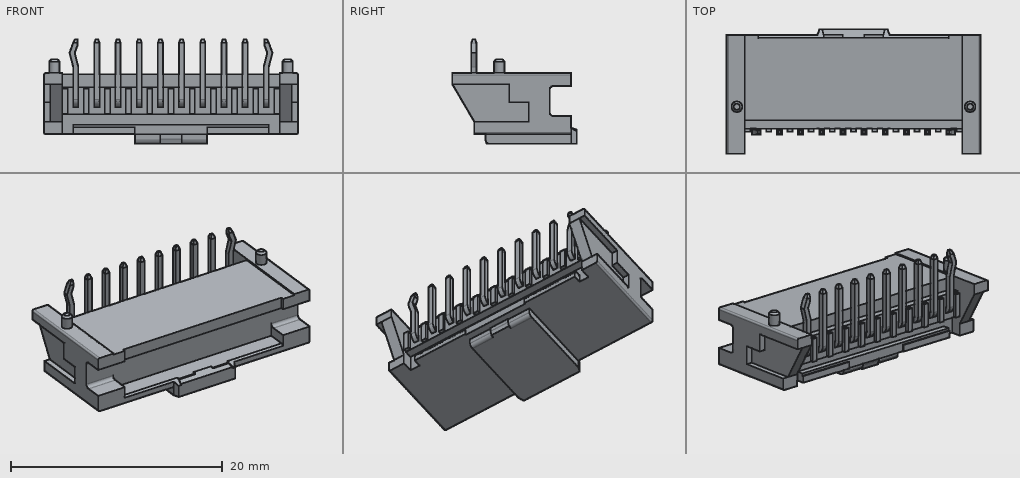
import cadquery as cq
import math


LENGTH = 24.0
CHEEK_WIDTH = 1.75
CHEEK_DEPTH = 11.23
CHEEK_TOP = 6.7
BASE_Z = 0.9
BODY_TOP = 6.58
WALL_DEPTH = 8.1
INNER_HALF = LENGTH / 2 - CHEEK_WIDTH

FOOT_DEPTH = 9.17
CHEEK_STEP_HIGH = 5.65
CHEEK_STEP_MID = 3.9
CHEEK_STEP_LOW = 2.1
RELIEF_DEPTH = 0.6
RELIEF_UPPER_START = 5.85
RELIEF_LOWER_START = 3.98
CHEEK_EDGE_RADIUS = 0.2
NOTCH_DEPTH = 2.02
NOTCH_BOTTOM = 2.65
NOTCH_TOP = 5.45
NOTCH_RADIUS = 0.34

PEG_X = 11.02
PEG_Y = -6.8
PEG_DIAMETER = 1.0
PEG_TOP = 8.0
PEG_CHAMFER = 0.22

PIN_COUNT = 10
PITCH = LENGTH / 12
PIN_SIZE = 0.5
PIN_Y = -9.2
PIN_TOP = 9.9
PIN_TIP_Z = 9.53
PIN_TIP_SIZE = 0.25
PIN_LEG_Z = 3.45
PIN_BEND_RADIUS = 0.77
PIN_EMBED_DEPTH = 8.4
KINK_START_Z = 7.3
KINK_PEAK_Z = 8.6
KINK_OFFSET = 0.34
KINK_TIP_OFFSET = 0.07
PIN_BLOCK_DEPTH = 8.85
PIN_BLOCK_BOTTOM = 2.8
PIN_BLOCK_TOP = 5.35
PARTITION_DEPTH = 9.17
PARTITION_WIDTH = 0.5
PARTITION_BOTTOM = 2.85
PARTITION_TOP = 5.18

LIP_LENGTH = 18.43
LIP_DEPTH = 8.75
LIP_TOP = 1.82
LIP_PAD_DEPTH = 8.88
LIP_PAD_TOP = 1.58

LATCH_WIDTH = 6.85
LATCH_FRONT = 8.06
LATCH_NIB_FRONT = 8.14
LATCH_RADIUS = 0.38
LATCH_NIB_WIDTH = 2.02
LATCH_NIB_HEIGHT = 0.48
LATCH_NIB_SETBACK = 0.15
HOOK_REACH = 0.53
HOOK_TIP_WIDTH = 6.43
HOOK_TIP_Z = 1.35
RAMP_TIP_WIDTH = 5.9
RAMP_ROOT_WIDTH = 5.66

MOUTH_LENGTH = 17.95
MOUTH_FLOOR = 1.63
MOUTH_ROOF_SETBACK = 0.3
LEAD_IN_DEPTH = 0.26
LEAD_IN_SLOPE = 0.54


def block(x_size, y_back, y_front, z_low, z_high, x_center=0.0):
    """Box centred on x_center, running from y_front back to y_back."""
    return (
        cq.Workplane("XY")
        .box(x_size, y_back - y_front, z_high - z_low, centered=(True, False, False))
        .translate((x_center, y_front, z_low))
    )


def side_profile(points, x_start, x_size):
    """Prism along +X from a closed outline of (y, z) points."""
    return cq.Workplane("YZ").workplane(offset=x_start).polyline(points).close().extrude(x_size)


def mirrored_pair(solid):
    """A solid together with its mirror image across X = 0."""
    return solid.union(solid.mirror("YZ"))


def end_cheek():
    """Left cheek with the sloped front, the stepped outer relief and a locating peg."""
    slope_top = (-CHEEK_DEPTH, CHEEK_STEP_HIGH)
    slope_bottom = (-FOOT_DEPTH, CHEEK_STEP_LOW)
    outline = [
        (0, BASE_Z),
        (0, CHEEK_TOP),
        (-CHEEK_DEPTH, CHEEK_TOP),
        slope_top,
        slope_bottom,
        (-FOOT_DEPTH, BASE_Z),
    ]
    relief = [
        (-RELIEF_UPPER_START, CHEEK_STEP_HIGH),
        slope_top,
        (-CHEEK_DEPTH, CHEEK_STEP_LOW),
        (-RELIEF_LOWER_START, CHEEK_STEP_LOW),
        (-RELIEF_LOWER_START, CHEEK_STEP_MID),
        (-RELIEF_UPPER_START, CHEEK_STEP_MID),
    ]
    cheek = side_profile(outline, -LENGTH / 2, CHEEK_WIDTH)
    cheek = cheek.faces("<X").edges("<Z or >Z").fillet(CHEEK_EDGE_RADIUS)
    cheek = cheek.cut(side_profile(relief, -LENGTH / 2, RELIEF_DEPTH))
    peg = (
        cq.Workplane("XY", origin=(-PEG_X, PEG_Y, CHEEK_TOP))
        .circle(PEG_DIAMETER / 2)
        .extrude(PEG_TOP - CHEEK_TOP)
        .faces(">Z")
        .chamfer(PEG_CHAMFER)
    )
    return cheek.union(peg)


def housing():
    """Body between the cheeks, the block that holds the terminals and the front lip."""
    body = block(2 * INNER_HALF, 0, -WALL_DEPTH, BASE_Z, BODY_TOP)
    pin_block = block(2 * INNER_HALF, 0, -PIN_BLOCK_DEPTH, PIN_BLOCK_BOTTOM, PIN_BLOCK_TOP)
    lip = block(LIP_LENGTH, -MOUTH_ROOF_SETBACK, -LIP_DEPTH, BASE_Z, LIP_TOP)
    pad_length = (LIP_LENGTH - LATCH_WIDTH) / 2
    pad_x = (LIP_LENGTH + LATCH_WIDTH) / 4
    pad = block(pad_length, -WALL_DEPTH, -LIP_PAD_DEPTH, BASE_Z, LIP_PAD_TOP, pad_x)
    return body.union(pin_block).union(lip).union(mirrored_pair(pad))


def ramp_z(y):
    """Height of the sloped ramp on the hook, falling from the mouth floor to the hook tip."""
    slope = (MOUTH_FLOOR - HOOK_TIP_Z) / (MOUTH_ROOF_SETBACK + HOOK_REACH)
    return HOOK_TIP_Z + slope * (HOOK_REACH - y)


def shoulder_z(y):
    """Height of the lower sloped shoulders beside the ramp, in line with the mouth lead-ins."""
    return MOUTH_FLOOR - LEAD_IN_SLOPE * (LEAD_IN_DEPTH + y)


def latch():
    """Latch bar under the housing, with a ramped hook reaching past the mating side."""
    bar = block(LATCH_WIDTH, 0, -LATCH_FRONT, 0, BASE_Z)
    bar = bar.faces("<Y").edges("<Z").fillet(LATCH_RADIUS)
    nib_outline = [
        (-LATCH_NIB_FRONT, BASE_Z),
        (-LATCH_NIB_FRONT, LATCH_NIB_HEIGHT),
        (-LATCH_NIB_FRONT + LATCH_NIB_SETBACK, 0),
        (-LATCH_FRONT + LATCH_RADIUS, 0),
        (-LATCH_FRONT + LATCH_RADIUS, BASE_Z),
    ]
    nib = side_profile(nib_outline, -LATCH_NIB_WIDTH / 2, LATCH_NIB_WIDTH)

    root_half = LATCH_WIDTH / 2
    tip_half = HOOK_TIP_WIDTH / 2
    hook_plan = [(-root_half, 0), (-tip_half, HOOK_REACH), (tip_half, HOOK_REACH), (root_half, 0)]
    hook_side = [(0, 0), (0, shoulder_z(0)), (HOOK_REACH, shoulder_z(HOOK_REACH)), (HOOK_REACH, 0)]
    hook = cq.Workplane("XY").polyline(hook_plan).close().extrude(MOUTH_FLOOR)
    hook = hook.intersect(side_profile(hook_side, -root_half, LATCH_WIDTH))

    ramp_root_half = RAMP_ROOT_WIDTH / 2
    ramp_tip_half = RAMP_TIP_WIDTH / 2
    ramp_plan = [
        (-ramp_root_half, 0),
        (-ramp_tip_half, HOOK_REACH),
        (ramp_tip_half, HOOK_REACH),
        (ramp_root_half, 0),
    ]
    ramp_side = [(0, 0), (0, ramp_z(0)), (HOOK_REACH, HOOK_TIP_Z), (HOOK_REACH, 0)]
    ramp = cq.Workplane("XY").polyline(ramp_plan).close().extrude(MOUTH_FLOOR)
    ramp = ramp.intersect(side_profile(ramp_side, -ramp_tip_half, RAMP_TIP_WIDTH))
    return bar.union(nib).union(hook).union(ramp)


def mating_mouth():
    """Material removed at the mating side: side notch, mouth, roof setback and lead-ins."""
    notch = block(LENGTH, 0, -NOTCH_DEPTH, NOTCH_BOTTOM, NOTCH_TOP)
    notch = notch.faces("<Y").edges("|X").fillet(NOTCH_RADIUS)
    mouth = block(MOUTH_LENGTH, 0, -NOTCH_DEPTH, MOUTH_FLOOR, NOTCH_TOP)
    roof = block(MOUTH_LENGTH, 0, -MOUTH_ROOF_SETBACK, NOTCH_BOTTOM, BODY_TOP)

    lead_in_outline = [
        (0, MOUTH_FLOOR),
        (-LEAD_IN_DEPTH, MOUTH_FLOOR),
        (0, shoulder_z(0)),
    ]
    lead_in_length = (MOUTH_LENGTH - RAMP_ROOT_WIDTH) / 2
    lead_in = side_profile(lead_in_outline, RAMP_ROOT_WIDTH / 2, lead_in_length)
    groove_outline = [(0, MOUTH_FLOOR), (-MOUTH_ROOF_SETBACK, MOUTH_FLOOR), (0, ramp_z(0))]
    groove = side_profile(groove_outline, -LATCH_NIB_WIDTH / 2, LATCH_NIB_WIDTH)
    return notch.union(mouth).union(roof).union(mirrored_pair(lead_in)).union(groove)


def partitions():
    """Ribs standing on the terminal block, one on each side of every terminal."""
    ribs = cq.Workplane("XY")
    for index in range(PIN_COUNT + 1):
        x = (index - PIN_COUNT / 2) * PITCH
        ribs = ribs.union(
            block(PARTITION_WIDTH, -WALL_DEPTH, -PARTITION_DEPTH, PARTITION_BOTTOM, PARTITION_TOP, x)
        )
    return ribs


def bent_bar():
    """Side shape of a terminal: horizontal leg, rounded bend and upright with a tapered tip."""
    half = PIN_SIZE / 2
    half_tip = PIN_TIP_SIZE / 2
    front = PIN_Y - half
    back = PIN_Y + half
    leg_top = PIN_LEG_Z + PIN_SIZE
    inner_radius = PIN_BEND_RADIUS - PIN_SIZE
    bend_y = front + PIN_BEND_RADIUS
    bend_z = PIN_LEG_Z + PIN_BEND_RADIUS
    diagonal = math.sqrt(0.5)
    outer_mid = (bend_y - PIN_BEND_RADIUS * diagonal, bend_z - PIN_BEND_RADIUS * diagonal)
    inner_mid = (bend_y - inner_radius * diagonal, bend_z - inner_radius * diagonal)
    return (
        cq.Workplane("YZ")
        .moveTo(-PIN_EMBED_DEPTH, PIN_LEG_Z)
        .lineTo(bend_y, PIN_LEG_Z)
        .threePointArc(outer_mid, (front, bend_z))
        .lineTo(front, PIN_TIP_Z)
        .lineTo(PIN_Y - half_tip, PIN_TOP)
        .lineTo(PIN_Y + half_tip, PIN_TOP)
        .lineTo(back, PIN_TIP_Z)
        .lineTo(back, bend_z)
        .threePointArc(inner_mid, (bend_y, leg_top))
        .lineTo(-PIN_EMBED_DEPTH, leg_top)
        .close()
        .extrude(PITCH, both=True)
    )


def terminal(front_outline):
    """Terminal centred on X = 0, whose shape seen from the front is front_outline."""
    front = cq.Workplane("XZ").polyline(front_outline).close().extrude(CHEEK_DEPTH)
    return bent_bar().intersect(front)


def terminals():
    """Row of terminals; the outermost two are kinked outward to grip a board."""
    half = PIN_SIZE / 2
    half_tip = PIN_TIP_SIZE / 2
    straight = terminal([
        (-half, PIN_LEG_Z),
        (-half, PIN_TIP_Z),
        (-half_tip, PIN_TOP),
        (half_tip, PIN_TOP),
        (half, PIN_TIP_Z),
        (half, PIN_LEG_Z),
    ])
    inner_edge = half - KINK_TIP_OFFSET
    kinked = terminal([
        (-half, PIN_LEG_Z),
        (-half, KINK_START_Z),
        (-half - KINK_OFFSET, KINK_PEAK_Z),
        (-half, PIN_TIP_Z),
        (inner_edge - PIN_TIP_SIZE, PIN_TOP),
        (inner_edge, PIN_TOP),
        (inner_edge, PIN_TIP_Z - PIN_TIP_SIZE),
        (half - KINK_OFFSET, KINK_PEAK_Z),
        (half, KINK_START_Z),
        (half, PIN_LEG_Z),
    ])
    row_half = (PIN_COUNT - 1) / 2 * PITCH
    row = mirrored_pair(kinked.translate((-row_half, 0, 0)))
    for index in range(1, PIN_COUNT - 1):
        row = row.union(straight.translate((index * PITCH - row_half, 0, 0)))
    return row


result = (
    housing()
    .union(mirrored_pair(end_cheek()))
    .union(latch())
    .cut(mating_mouth())
    .union(partitions())
    .union(terminals())
)